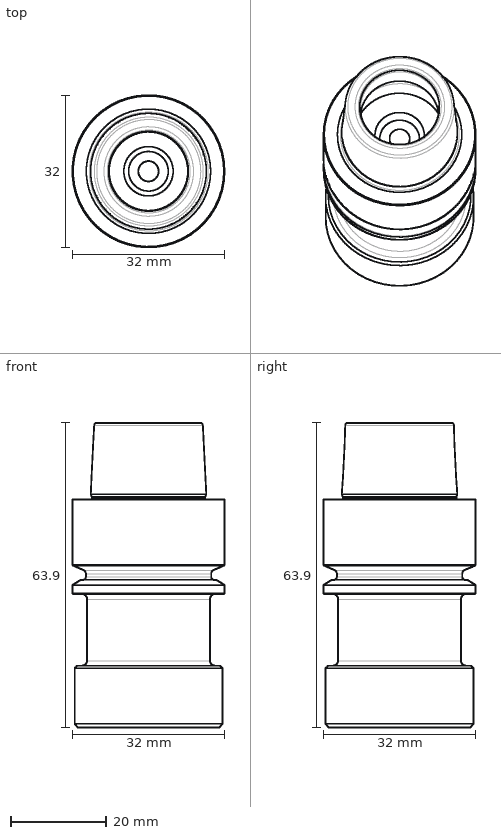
import cadquery as cq
import math

total_height = 63.9
flange_radius = 16.0
through_hole_radius = 2.1

nut_height = 12.45
nut_radius = 15.5
nut_chamfer_width = 0.7
nut_chamfer_height = 0.8

collar_chamfer = 0.6
body_radius = 12.9
body_fillet = 1.0
collar_top = nut_height + collar_chamfer

edge_chamfer = 0.2
ring_bottom = 28.0
ring_top = 30.05

groove_radius = 13.15
groove_ledge_height = 31.0
groove_ledge_radius = 14.25
groove_lower_fillet = 0.65
groove_upper_fillet = 0.8
groove_neck_top = 32.3
flange_bottom = 34.1

flange_top = 47.9
relief_outer_radius = 13.05
relief_inner_radius = 12.45
relief_depth = 0.25
relief_neck_radius = 11.95
relief_arc_top = 48.25
relief_neck_top = 48.45

taper_bottom = 48.95
taper_bottom_radius = 12.15
taper_slope = 1 / 20
rim_fillet = 0.5

mouth_radius = 9.4
mouth_curve_radius = 8.7
mouth_curve_depth = 0.25
mouth_step_radius = 8.4
mouth_step_depth = 0.5
bore_radius = 8.25
bore_start_depth = 0.95
lip_bottom = 57.5
lip_slope = math.radians(30)
cavity_radius = 10.2
cavity_wall_bottom = 51.2
cavity_floor_radius = 9.5
cavity_floor = 47.35

recess_top_radius = 5.2
recess_bottom_radius = 4.15
recess_depth = 1.8


def revolved(outline):
    """Turn a closed outline of radius (x) and height (y) about the Z axis."""
    return outline.close().revolve(360, (0, 0, 0), (0, 1, 0))


def draw_groove(outline):
    """Continue the outer outline up through the gripper groove to the flange."""
    centre_radius = groove_radius + groove_upper_fillet
    cone_top_radius = flange_radius - edge_chamfer
    cone_top_height = flange_bottom - edge_chamfer
    run = cone_top_radius - centre_radius
    rise = cone_top_height - groove_neck_top
    tangent_angle = math.atan2(rise, run) + math.acos(groove_upper_fillet / math.hypot(run, rise))
    touch_radius = centre_radius + groove_upper_fillet * math.cos(tangent_angle)
    touch_height = groove_neck_top + groove_upper_fillet * math.sin(tangent_angle)
    return (
        outline.lineTo(groove_ledge_radius, groove_ledge_height)
        .lineTo(groove_radius + groove_lower_fillet, groove_ledge_height)
        .tangentArcPoint((groove_radius, groove_ledge_height + groove_lower_fillet), relative=False)
        .lineTo(groove_radius, groove_neck_top)
        .tangentArcPoint((touch_radius, touch_height), relative=False)
        .lineTo(cone_top_radius, cone_top_height)
        .lineTo(flange_radius, flange_bottom)
    )


def draw_taper(outline):
    """Continue the outer outline up through the foot relief and the taper to the rim."""
    taper_top = total_height - rim_fillet
    taper_top_radius = taper_bottom_radius - (taper_top - taper_bottom) * taper_slope
    return (
        outline.lineTo(relief_outer_radius, flange_top)
        .lineTo(relief_inner_radius, flange_top - relief_depth)
        .tangentArcPoint((relief_neck_radius, relief_arc_top), relative=False)
        .lineTo(relief_neck_radius, relief_neck_top)
        .lineTo(taper_bottom_radius, taper_bottom)
        .lineTo(taper_top_radius, taper_top)
        .tangentArcPoint((taper_top_radius - rim_fillet, total_height), relative=False)
    )


def draw_bore(outline):
    """Continue the outline from the rim down through the bore, the cavity and the through hole."""
    lip_height = (cavity_radius - bore_radius) * math.tan(lip_slope)
    return (
        outline.lineTo(mouth_radius, total_height)
        .tangentArcPoint((mouth_curve_radius, total_height - mouth_curve_depth), relative=False)
        .lineTo(mouth_step_radius, total_height - mouth_step_depth)
        .lineTo(bore_radius, total_height - bore_start_depth)
        .lineTo(bore_radius, lip_bottom)
        .lineTo(cavity_radius, lip_bottom - lip_height)
        .lineTo(cavity_radius, cavity_wall_bottom)
        .lineTo(cavity_floor_radius, cavity_floor)
        .lineTo(recess_top_radius, cavity_floor)
        .lineTo(recess_bottom_radius, cavity_floor - recess_depth)
        .lineTo(through_hole_radius, cavity_floor - recess_depth)
    )


def make_holder():
    """Tool holder: collar, body, flange with gripper groove, and hollow taper shank."""
    outline = (
        cq.Workplane("XZ")
        .moveTo(through_hole_radius, nut_height)
        .lineTo(nut_radius, nut_height)
        .lineTo(nut_radius - collar_chamfer, collar_top)
        .lineTo(body_radius + body_fillet, collar_top)
        .tangentArcPoint((body_radius, collar_top + body_fillet), relative=False)
        .lineTo(body_radius, ring_bottom - body_fillet)
        .tangentArcPoint((body_radius + body_fillet, ring_bottom), relative=False)
        .lineTo(flange_radius - edge_chamfer, ring_bottom)
        .lineTo(flange_radius, ring_bottom + edge_chamfer)
        .lineTo(flange_radius, ring_top - edge_chamfer)
        .lineTo(flange_radius - edge_chamfer, ring_top)
    )
    outline = draw_groove(outline)
    outline = outline.lineTo(flange_radius, flange_top - edge_chamfer)
    outline = outline.lineTo(flange_radius - edge_chamfer, flange_top)
    outline = draw_taper(outline)
    return revolved(draw_bore(outline))


def make_nut():
    """Clamping nut: a ring with a chamfered lower edge."""
    return revolved(
        cq.Workplane("XZ")
        .moveTo(through_hole_radius, 0)
        .lineTo(nut_radius - nut_chamfer_width, 0)
        .lineTo(nut_radius, nut_chamfer_height)
        .lineTo(nut_radius, nut_height)
        .lineTo(through_hole_radius, nut_height)
    )


holder = make_holder()
nut = make_nut()

result = cq.Compound.makeCompound([holder.val(), nut.val()])